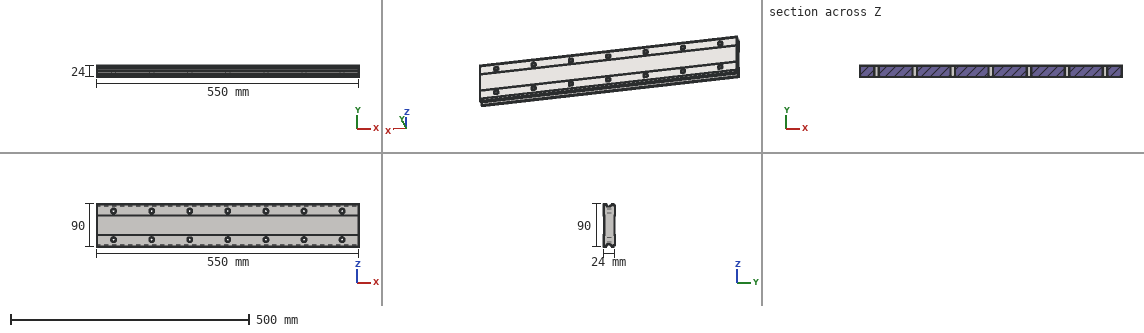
import cadquery as cq
import math

LENGTH = 550.0
WIDTH = 24.0
HEIGHT = 90.0
HALF_WIDTH = WIDTH / 2
HALF_HEIGHT = HEIGHT / 2

RECESS_DEPTH = 1.0
RECESS_HALF_HEIGHT = 20.7

CHAMFER = 1.0
SHOULDER_RADIUS = 3.5
SHOULDER_MID_ANGLE = -45.0
RIDGE_INNER_Y = 5.7
GROOVE_RADIUS = 4.7
GROOVE_START_ANGLE = 80.0
GROOVE_END_ANGLE = 20.5
FLOOR_Z = 39.9
FLOOR_START_SLOPE = 40.0
FLOOR_END_Y = -4.4
FLANK_ANGLE = 60.0

HOLE_DIAMETER = 9.0
HOLES_PER_ROW = 7
HOLE_ROWS = 2
HOLE_PITCH = 80.0
HOLE_ROW_SPACING = 60.0


def arc_point(center, radius, angle):
    """(y, z) point on a circle, with the angle measured from straight down toward +Y."""
    turn = math.radians(angle)
    return (center[0] + radius * math.sin(turn), center[1] - radius * math.cos(turn))


def make_upper_half():
    """Bar above its mid plane, as an extrusion of the (Y, Z) section along X."""
    recess_y = HALF_WIDTH - RECESS_DEPTH
    ridge_outer_y = HALF_WIDTH - SHOULDER_RADIUS
    shoulder_mid = arc_point((HALF_WIDTH, HALF_HEIGHT), SHOULDER_RADIUS, SHOULDER_MID_ANGLE)

    start_turn = math.radians(GROOVE_START_ANGLE)
    groove_center = (
        RIDGE_INNER_Y - GROOVE_RADIUS * math.sin(start_turn),
        HALF_HEIGHT + GROOVE_RADIUS * math.cos(start_turn),
    )
    groove_mid = arc_point(groove_center, GROOVE_RADIUS, (GROOVE_START_ANGLE + GROOVE_END_ANGLE) / 2)
    groove_end = arc_point(groove_center, GROOVE_RADIUS, GROOVE_END_ANGLE)
    floor_start_y = groove_end[0] - (groove_end[1] - FLOOR_Z) / math.tan(math.radians(FLOOR_START_SLOPE))
    flank_run = (HALF_HEIGHT - FLOOR_Z) / math.tan(math.radians(FLANK_ANGLE))

    section = (
        cq.Workplane("YZ", origin=(-LENGTH / 2, 0, 0))
        .moveTo(recess_y, 0)
        .lineTo(recess_y, RECESS_HALF_HEIGHT)
        .lineTo(HALF_WIDTH, RECESS_HALF_HEIGHT)
        .lineTo(HALF_WIDTH, HALF_HEIGHT - SHOULDER_RADIUS)
        .threePointArc(shoulder_mid, (ridge_outer_y, HALF_HEIGHT))
        .lineTo(RIDGE_INNER_Y, HALF_HEIGHT)
        .threePointArc(groove_mid, groove_end)
        .lineTo(floor_start_y, FLOOR_Z)
        .lineTo(FLOOR_END_Y, FLOOR_Z)
        .lineTo(FLOOR_END_Y - flank_run, HALF_HEIGHT)
        .lineTo(-HALF_WIDTH + CHAMFER, HALF_HEIGHT)
        .lineTo(-HALF_WIDTH, HALF_HEIGHT - CHAMFER)
        .lineTo(-HALF_WIDTH, RECESS_HALF_HEIGHT)
        .lineTo(-recess_y, RECESS_HALF_HEIGHT)
        .lineTo(-recess_y, 0)
        .close()
    )
    return section.extrude(LENGTH)


def make_holes():
    """Plain round holes through the full width, in one row above and one below the middle."""
    return (
        cq.Workplane("XZ", origin=(0, HALF_WIDTH, 0))
        .rarray(HOLE_PITCH, HOLE_ROW_SPACING, HOLES_PER_ROW, HOLE_ROWS)
        .circle(HOLE_DIAMETER / 2)
        .extrude(WIDTH)
    )


upper_half = make_upper_half()
bar = upper_half.union(upper_half.mirror("XY")).clean()
result = bar.cut(make_holes())